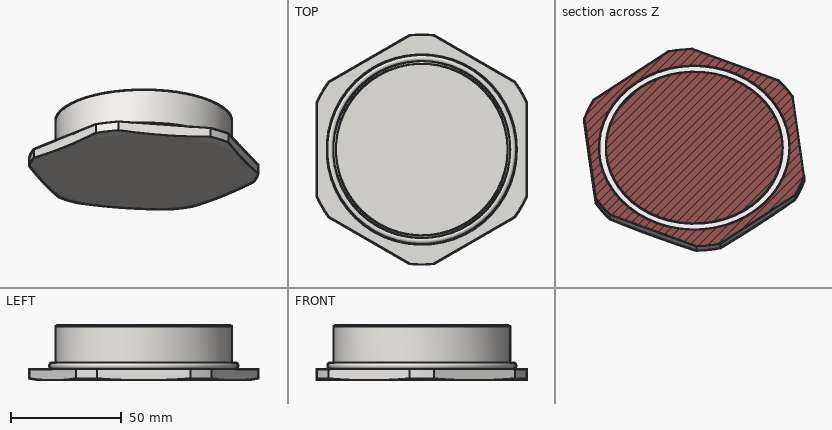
import cadquery as cq
import math

across_flats = 95.0
corner_diameter = 104.0
flange_thickness = 5.0
flange_chamfer_angle = 10.0

plug_diameter = 80.0
plug_top_diameter = 77.6
plug_chamfer_angle = 30.0
total_height = 25.0

ring_section_diameter = 3.0
ring_inner_diameter = 79.5

recess_diameter = 86.0
recess_depth = 0.5
recess_rim_radius = 0.2

flat_radius = across_flats / 2
corner_radius = corner_diameter / 2
plug_radius = plug_diameter / 2
plug_top_radius = plug_top_diameter / 2
recess_radius = recess_diameter / 2
ring_section_radius = ring_section_diameter / 2
ring_center_radius = ring_inner_diameter / 2 + ring_section_radius
ring_center_height = flange_thickness + ring_section_radius


def revolve_about_z(profile):
    """Full turn of a closed radius-height profile about the Z axis."""
    return profile.revolve(360, (0, 0), (0, 1))


def make_flange():
    """Hexagon trimmed by a disc whose bottom edge is a shallow cone starting at the flats."""
    hexagon = (
        cq.Workplane("XY")
        .polygon(6, across_flats, circumscribed=True)
        .extrude(flange_thickness)
    )
    chamfer_height = (corner_radius - flat_radius) * math.tan(math.radians(flange_chamfer_angle))
    disc_profile = (
        cq.Workplane("XZ")
        .lineTo(flat_radius, 0)
        .lineTo(corner_radius, chamfer_height)
        .lineTo(corner_radius, flange_thickness)
        .lineTo(0, flange_thickness)
        .close()
    )
    return hexagon.intersect(revolve_about_z(disc_profile))


def make_plug():
    """Cylinder standing on the flange, with its top edge cut back by a cone."""
    chamfer_height = (plug_radius - plug_top_radius) * math.tan(math.radians(plug_chamfer_angle))
    profile = (
        cq.Workplane("XZ")
        .moveTo(0, flange_thickness)
        .lineTo(plug_radius, flange_thickness)
        .lineTo(plug_radius, total_height - chamfer_height)
        .lineTo(plug_top_radius, total_height)
        .lineTo(0, total_height)
        .close()
    )
    return revolve_about_z(profile)


def make_recess():
    """Annular cutter from the plug wall outwards, flaring at the top to round the rim."""
    floor_height = flange_thickness - recess_depth
    rim_start_height = flange_thickness - recess_rim_radius
    rim_outer_radius = recess_radius + recess_rim_radius
    arc_offset = recess_rim_radius * math.cos(math.radians(45))
    profile = (
        cq.Workplane("XZ")
        .moveTo(plug_radius, floor_height)
        .lineTo(recess_radius, floor_height)
        .lineTo(recess_radius, rim_start_height)
        .threePointArc(
            (rim_outer_radius - arc_offset, rim_start_height + arc_offset),
            (rim_outer_radius, flange_thickness),
        )
        .lineTo(plug_radius, flange_thickness)
        .close()
    )
    return revolve_about_z(profile)


def make_ring():
    """Torus around the foot of the plug, seated slightly into the plug wall."""
    return (
        cq.Workplane("XZ")
        .center(ring_center_radius, ring_center_height)
        .circle(ring_section_radius)
        .revolve(360, (-ring_center_radius, 0), (-ring_center_radius, 1))
    )


sealing_ring = make_ring()

cap = make_flange().union(make_plug()).cut(make_recess()).cut(sealing_ring)

result = cq.Compound.makeCompound([cap.solids().val(), sealing_ring.val()])